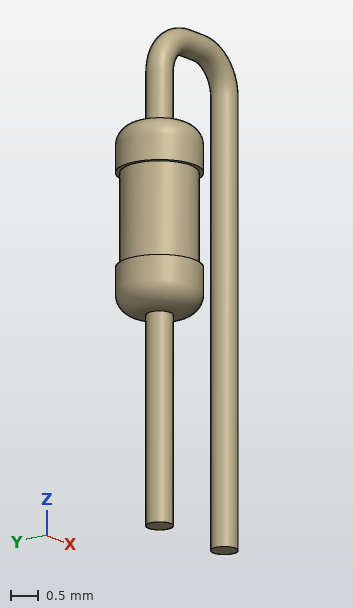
import cadquery as cq

wire_diameter = 0.5
lead_pitch = 1.9
bend_radius = 0.75
total_height = 9.6

body_bottom = 4.0
body_length = 3.6
barrel_diameter = 1.44
cap_diameter = 1.6
cap_length = 0.9
cap_fillet = 0.4

body_top = body_bottom + body_length
bend_start = total_height - wire_diameter / 2 - bend_radius


def cylinder(diameter, bottom, length):
    """Upright cylinder centred on the Z axis."""
    return cq.Workplane("XY").workplane(offset=bottom).circle(diameter / 2).extrude(length)


def make_body():
    """Barrel with a wider, round-ended cap at each end."""
    barrel = cylinder(barrel_diameter, body_bottom + cap_length, body_length - 2 * cap_length)
    lower_cap = cylinder(cap_diameter, body_bottom, cap_length)
    lower_cap = lower_cap.faces("<Z").edges().fillet(cap_fillet)
    upper_cap = cylinder(cap_diameter, body_top - cap_length, cap_length)
    upper_cap = upper_cap.faces(">Z").edges().fillet(cap_fillet)
    return barrel.union(lower_cap).union(upper_cap)


def make_wire():
    """Round wire up through the body, over two quarter bends and back down."""
    path = (
        cq.Workplane("XZ")
        .lineTo(0, bend_start)
        .radiusArc((bend_radius, bend_start + bend_radius), bend_radius)
        .lineTo(lead_pitch - bend_radius, bend_start + bend_radius)
        .radiusArc((lead_pitch, bend_start), bend_radius)
        .lineTo(lead_pitch, 0)
    )
    return cq.Workplane("XY").circle(wire_diameter / 2).sweep(path)


result = make_body().union(make_wire())